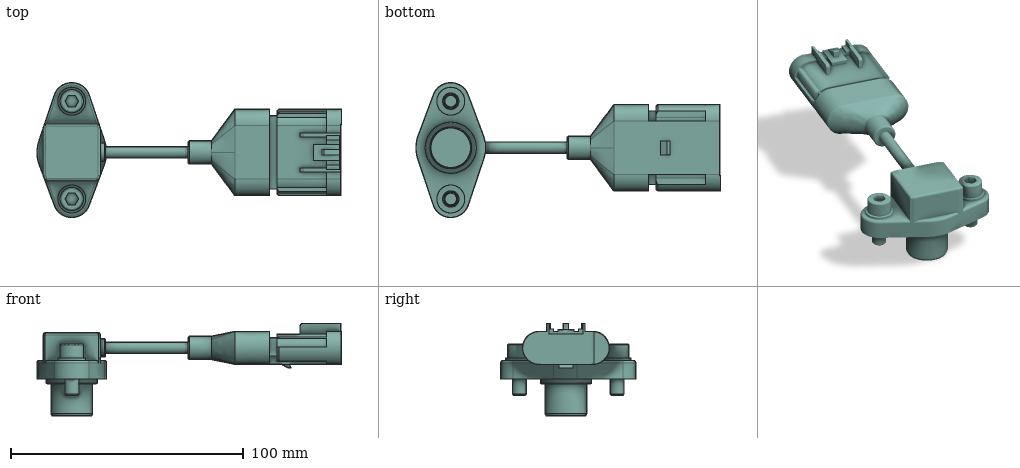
import cadquery as cq
import math


flange_height = 8.0
flange_centre_radius = 15.0
flange_ear_radius = 8.0
screw_spacing = 42.0
screw_offset = 1.0
screw_places = [screw_offset - screw_spacing / 2, screw_offset + screw_spacing / 2]
flange_edge = 1.0
cover_side = 24.5
cover_top = 20.0
cover_edge = 1.0
collar_diameter = 22.0
collar_depth = 2.0
collar_edge = 0.5
tip_diameter = 18.0
tip_depth = 15.8
tip_edge_radial = 0.5
tip_edge_axial = 1.0
gland_diameter = 8.0
gland_end = 14.4
gland_edge = 0.3

bushing_diameter = 12.0
bushing_bore = 7.0
bushing_top = flange_height + 1.0
screw_diameter = 6.0
screw_length = 16.0
screw_tip_edge = 0.5
head_diameter = 10.0
head_height = 6.0
head_edge = 0.5
socket_across_flats = 5.0
socket_depth = 3.0

cable_height = 13.4
cable_diameter = 5.0
sleeve_diameter = 10.1
sleeve_start = 50.0
sleeve_end = 60.0
sleeve_edge = 0.5
oval_start = 70.0
oval_end = 85.0
oval_radius = 7.1
oval_centre = 11.5
neck_half_width = 15.8
neck_bottom = 9.9
neck_top = 17.8
plug_start = 88.1
shroud_start = 109.5
plug_end = 115.6
side_lip_length = 0.3
side_lip_start = 12.0
plug_step = 1.2
plug_radius = oval_radius - plug_step
oval_half_width = oval_centre + oval_radius
oval_bottom = cable_height - oval_radius
oval_top = cable_height + oval_radius
upper_rail_bottom = 17.4
upper_rail_top = 18.1
lower_rail_bottom = 7.7
lower_rail_top = 13.8
rail_edge = 0.8
fin_start = 98.0
fin_top = 23.96
fin_inner = 6.7
fin_thickness = 1.6
fin_corner = 1.4
pad_start = 103.8
pad_end = 115.0
pad_half_width = 3.5
pad_top = 21.2
latch_start = 107.4
latch_flat = 0.9
latch_half_width = 1.2
block_inner = 5.3
block_outer = 7.3
block_top = 21.6
hook_start = 90.1
hook_tip_start = 92.9
hook_tip_end = 94.1
hook_undercut = 0.5
hook_bottom = 4.8
hook_width = 6.0


def box(x_range, y_range, z_range):
    size = [high - low for low, high in (x_range, y_range, z_range)]
    corner = (x_range[0], y_range[0], z_range[0])
    return cq.Workplane("XY").box(*size, centered=False).translate(corner)


def cylinder_z(diameter, bottom, top, y=0):
    return cq.Workplane("XY", origin=(0, y, bottom)).circle(diameter / 2).extrude(top - bottom)


def cylinder_x(diameter, start, end):
    return cq.Workplane("YZ", origin=(start, 0, cable_height)).circle(diameter / 2).extrude(end - start)


def flange_outline(height):
    """Two ears joined by tangent lines to a larger arc round the tip axis."""
    minus_ear, plus_ear = screw_places
    rise = flange_centre_radius - flange_ear_radius
    minus_angle = math.asin(rise / minus_ear)
    plus_angle = math.asin(rise / plus_ear)

    def on_arc(radius, angle, y=0, side=1):
        return side * radius * math.cos(angle), y + radius * math.sin(angle)

    return (
        cq.Workplane("XY")
        .moveTo(*on_arc(flange_ear_radius, minus_angle, minus_ear))
        .lineTo(*on_arc(flange_centre_radius, minus_angle))
        .threePointArc((flange_centre_radius, 0), on_arc(flange_centre_radius, plus_angle))
        .lineTo(*on_arc(flange_ear_radius, plus_angle, plus_ear))
        .threePointArc((0, plus_ear + flange_ear_radius), on_arc(flange_ear_radius, plus_angle, plus_ear, -1))
        .lineTo(*on_arc(flange_centre_radius, plus_angle, 0, -1))
        .threePointArc((-flange_centre_radius, 0), on_arc(flange_centre_radius, minus_angle, 0, -1))
        .lineTo(*on_arc(flange_ear_radius, minus_angle, minus_ear, -1))
        .threePointArc((0, minus_ear - flange_ear_radius), on_arc(flange_ear_radius, minus_angle, minus_ear))
        .close()
        .extrude(height)
    )


def make_housing():
    flange = flange_outline(flange_height).faces(">Z").edges().fillet(flange_edge)
    cover = (
        flange_outline(cover_top)
        .intersect(cq.Workplane("XY").rect(cover_side, cover_side).extrude(cover_top))
        .faces(">Z").edges().fillet(cover_edge)
    )
    collar = cylinder_z(collar_diameter, -collar_depth, 0).faces("<Z").edges().fillet(collar_edge)
    tip = (
        cylinder_z(tip_diameter, -tip_depth, 0)
        .faces("<Z").edges().chamfer(tip_edge_axial, tip_edge_radial)
    )
    gland = cylinder_x(gland_diameter, 0, gland_end).faces(">X").edges().chamfer(gland_edge)
    housing = flange.union(cover).union(collar).union(tip).union(gland)
    for y in screw_places:
        housing = housing.cut(cylinder_z(bushing_diameter, 0, flange_height, y))
    return housing


def make_bushing(y):
    return cylinder_z(bushing_diameter, 0, bushing_top, y).cut(cylinder_z(bushing_bore, 0, bushing_top, y))


def make_screw(y):
    head_top = bushing_top + head_height
    shank = (
        cylinder_z(screw_diameter, bushing_top - screw_length, head_top - socket_depth, y)
        .faces("<Z").edges().chamfer(screw_tip_edge)
    )
    head = cylinder_z(head_diameter, bushing_top, head_top, y).faces(">Z").edges().fillet(head_edge)
    socket = (
        cq.Workplane("XY", origin=(0, y, head_top))
        .polygon(6, socket_across_flats / math.cos(math.pi / 6)).extrude(-socket_depth)
    )
    return head.cut(socket).union(shank)


def oval(start, end, radius):
    return (
        cq.Workplane("YZ", origin=(start, 0, cable_height))
        .slot2D(2 * (oval_centre + radius), 2 * radius).extrude(end - start)
    )


def half_circle_wire(x, radius):
    """+Y half of a circle, its arc split in three to pair with the two flats and end arc of half an oval."""

    def point(degrees):
        return radius * math.cos(math.radians(degrees)), radius * math.sin(math.radians(degrees))

    return (
        cq.Workplane("YZ", origin=(x, 0, cable_height))
        .moveTo(*point(90))
        .threePointArc(point(67.5), point(45))
        .threePointArc(point(0), point(-45))
        .threePointArc(point(-67.5), point(-90))
        .close().wires().val()
    )


def half_oval_wire(x, radius):
    return (
        cq.Workplane("YZ", origin=(x, 0, cable_height))
        .moveTo(0, radius)
        .lineTo(oval_centre, radius)
        .threePointArc((oval_centre + radius, 0), (oval_centre, -radius))
        .lineTo(0, -radius)
        .close().wires().val()
    )


def make_taper():
    """Ruled transition from the round sleeve to the oval, lofted as one half and mirrored."""
    small_end = half_circle_wire(sleeve_end, sleeve_diameter / 2)
    large_end = half_oval_wire(oval_start, oval_radius)
    half = cq.Workplane(cq.Solid.makeLoft([small_end, large_end], True))
    return half.union(half.mirror("XZ"))


def make_boot():
    sleeve = cylinder_x(sleeve_diameter, sleeve_start, sleeve_end).faces("<X").edges().chamfer(sleeve_edge)
    return sleeve.union(make_taper()).union(oval(oval_start, oval_end, oval_radius))


def make_rails():
    """Two pairs of rails whose outer faces continue the shroud's oval along the plug barrel."""
    full = oval(plug_start, shroud_start, oval_radius).faces("<X").edges().chamfer(rail_edge)
    bands = cq.Workplane("XY")
    for side in (-1, 1):
        y_range = sorted((side * oval_centre, side * oval_half_width))
        for z_range in ((lower_rail_bottom, lower_rail_top), (upper_rail_bottom, upper_rail_top)):
            bands = bands.add(box((plug_start, shroud_start), y_range, z_range))
    return full.intersect(bands.combine())


def make_fin(side):
    y_range = sorted((side * fin_inner, side * (fin_inner + fin_thickness)))
    return box((fin_start, plug_end), y_range, (cable_height, fin_top)).edges("<X and >Z").fillet(fin_corner)


def make_latch():
    pad = box((pad_start, pad_end), (-pad_half_width, pad_half_width), (cable_height, pad_top))
    ramp = (
        cq.Workplane("XZ", origin=(0, latch_half_width, 0))
        .moveTo(latch_start, pad_top).lineTo(latch_start, fin_top)
        .lineTo(latch_start + latch_flat, fin_top).lineTo(pad_end, pad_top).close()
        .extrude(2 * latch_half_width)
    )
    return pad.union(ramp)


def make_hook():
    """Small barb under the keel, with a sloping lead-in and an undercut back face."""
    return (
        cq.Workplane("XZ", origin=(0, hook_width / 2, 0))
        .moveTo(hook_start, oval_bottom)
        .lineTo(hook_tip_start, hook_bottom)
        .lineTo(hook_tip_end, hook_bottom)
        .lineTo(hook_tip_end - hook_undercut, oval_bottom)
        .close()
        .extrude(hook_width)
    )


def make_shroud():
    """Full oval at the mating end, with a low lip on its +Y side."""
    lip_end = plug_end + side_lip_length
    lip_zone = box((plug_end, lip_end), (side_lip_start, oval_half_width), (oval_bottom, oval_top))
    lip = oval(plug_end, lip_end, oval_radius).intersect(lip_zone)
    return oval(shroud_start, plug_end, oval_radius).union(lip)


def make_plug():
    neck = box((oval_end, plug_start), (-neck_half_width, neck_half_width), (neck_bottom, neck_top))
    keel = box((oval_end, shroud_start), (-oval_centre, oval_centre), (oval_bottom, cable_height))
    barrel = oval(plug_start, shroud_start, plug_radius)
    plug = neck.union(keel).union(barrel).union(make_rails()).union(make_shroud())
    plug = plug.union(make_latch()).union(make_hook())
    for side in (-1, 1):
        y_range = sorted((side * block_inner, side * block_outer))
        block = box((shroud_start, pad_end), y_range, (cable_height, block_top))
        relief = box((shroud_start, plug_end), y_range, (block_top, fin_top))
        plug = plug.union(make_fin(side)).union(block).cut(relief)
    notch = box((pad_end, plug_end), (-block_outer, block_outer), (cable_height + plug_radius, fin_top))
    return plug.cut(notch)


def make_harness():
    cable = cylinder_x(cable_diameter, gland_end, sleeve_start)
    return cable.union(make_boot()).union(make_plug())


housing = make_housing()
harness = make_harness()
bushings = [make_bushing(y).val() for y in screw_places]
screws = [make_screw(y).val() for y in screw_places]
result = cq.Compound.makeCompound([housing.val(), harness.val(), *bushings, *screws])